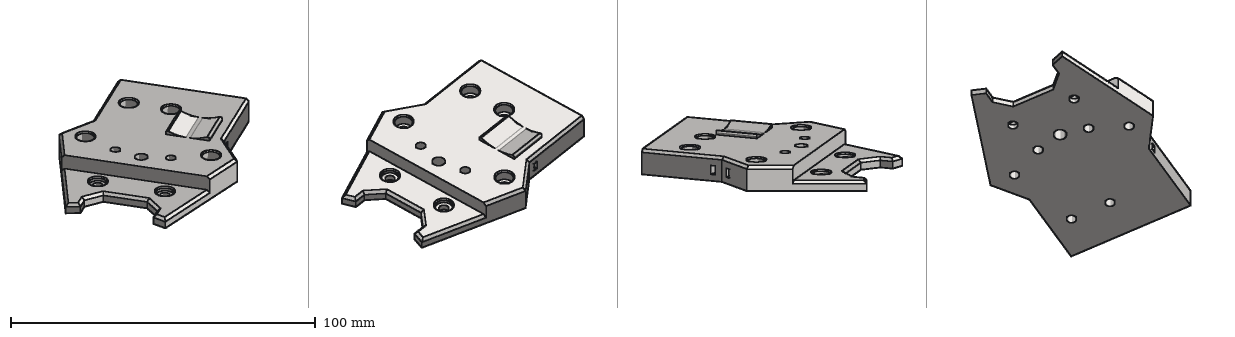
import cadquery as cq

LENGTH = 76.7
BACK_HALF_WIDTH = 22.5
SHOULDER_Y = 48.6
WIDEST_HALF_WIDTH = 30.6
WIDEST_Y = 36.95
TIP_X = 17.1
NOTCH_HALF_WIDTH = 12.5
NOTCH_TOP_HALF_WIDTH = 7.5
NOTCH_TOP_Y = 11.05
NOTCH_CORNER_Y = NOTCH_TOP_Y - (NOTCH_HALF_WIDTH - NOTCH_TOP_HALF_WIDTH)
SIDE_SLOPE = (WIDEST_HALF_WIDTH - TIP_X) / WIDEST_Y
PRONG_INNER_Y = (TIP_X - NOTCH_HALF_WIDTH) * SIDE_SLOPE

BODY_HEIGHT = 8.5
LEDGE_HEIGHT = 3.45
STEP_Y = 22.85
EDGE_CHAMFER = 1.0

SCREW_DIAMETER = 3.2
COUNTERBORE_DIAMETER = 5.8
COUNTERBORE_CHAMFER = 0.45
BODY_SCREW_FLOOR = 4.9
LEDGE_SCREW_FLOOR = 2.0
BODY_SCREWS = [(-14.5, 62.65), (0, 62.65), (-21.55, WIDEST_Y), (21.55, WIDEST_Y)]
LEDGE_SCREWS = [(-11.5, 17.95), (11.5, 17.95)]

CENTER_HOLE_DIAMETER = 4.3
CENTER_HOLE_Y = 29.1
SIDE_HOLE_DIAMETER = 3.3
SIDE_HOLE_X = 9.5
SIDE_HOLE_Y = 31.3

PAD_TOP = 9.8
PAD_CENTER_X = 10.8
PAD_WIDTH = 14.95
PAD_FRONT_Y = 45.85
PAD_LENGTH = 14.2
PAD_RIM = 0.85
PAD_FILLET = 0.5
HOLLOW_DIP = 0.015

TUNNEL_INNER_RADIUS = 2.4
TUNNEL_OUTER_RADIUS = 4.0
TUNNEL_BOTTOM = 2.2
TUNNEL_HEIGHT = 3.0


def chamfered_plate(height):
    """Full outline at one height, top edge chamfered everywhere but along the back."""
    right_side = [
        (BACK_HALF_WIDTH, LENGTH),
        (BACK_HALF_WIDTH, SHOULDER_Y),
        (WIDEST_HALF_WIDTH, WIDEST_Y),
        (TIP_X, 0),
        (NOTCH_HALF_WIDTH, PRONG_INNER_Y),
        (NOTCH_HALF_WIDTH, NOTCH_CORNER_Y),
        (NOTCH_TOP_HALF_WIDTH, NOTCH_TOP_Y),
    ]
    left_side = [(-x, y) for x, y in reversed(right_side)]
    plate = cq.Workplane("XY").polyline(right_side + left_side).close().extrude(height)
    top_edges = plate.faces(">Z").edges().edges("not(>Y)")
    return top_edges.chamfer(EDGE_CHAMFER)


def stepped_body():
    """Thick body behind the step, thin ledge with two prongs in front of it."""
    behind_step = (
        cq.Workplane("XY")
        .box(2 * WIDEST_HALF_WIDTH, LENGTH - STEP_Y, BODY_HEIGHT, centered=(True, False, False))
        .translate((0, STEP_Y, 0))
    )
    thick_body = chamfered_plate(BODY_HEIGHT).intersect(behind_step)
    return chamfered_plate(LEDGE_HEIGHT).union(thick_body)


def through_holes(points, diameter):
    return cq.Workplane("XY").pushPoints(points).circle(diameter / 2).extrude(BODY_HEIGHT)


def screw_holes(points, surface, floor):
    """Cutters for counterbored holes that open on a face at the given height."""
    bore_radius = COUNTERBORE_DIAMETER / 2
    profile = [
        (0, 0),
        (SCREW_DIAMETER / 2, 0),
        (SCREW_DIAMETER / 2, floor),
        (bore_radius, floor),
        (bore_radius, surface - COUNTERBORE_CHAMFER),
        (bore_radius + COUNTERBORE_CHAMFER, surface),
        (0, surface),
    ]
    cutter = cq.Workplane("XZ").polyline(profile).close().revolve(360, (0, 0, 0), (0, 1, 0))
    return cq.Workplane("XY").pushPoints(points).eachpoint(cutter.val(), combine=False)


def hollow_pad():
    """Block with rounded long edges and a cylindrical hollow that leaves a rim on each side."""
    block = (
        cq.Workplane("XY")
        .box(PAD_WIDTH, PAD_LENGTH, PAD_TOP, centered=(True, False, False))
        .translate((PAD_CENTER_X, PAD_FRONT_Y, 0))
    )
    half_chord = PAD_WIDTH / 2 - PAD_RIM
    hollow_bottom = BODY_HEIGHT - HOLLOW_DIP
    hollow = (
        cq.Workplane("XZ", origin=(PAD_CENTER_X, PAD_FRONT_Y, 0))
        .moveTo(-half_chord, PAD_TOP)
        .threePointArc((0, hollow_bottom), (half_chord, PAD_TOP))
        .close()
        .extrude(-PAD_LENGTH)
    )
    return block.edges("|Y and >Z").fillet(PAD_FILLET).cut(hollow)


def strap_tunnel(side):
    """Ring-shaped cutter around the shoulder corner; side is -1 for left and 1 for right."""
    return (
        cq.Workplane("XY", origin=(side * BACK_HALF_WIDTH, SHOULDER_Y, TUNNEL_BOTTOM))
        .circle(TUNNEL_OUTER_RADIUS)
        .circle(TUNNEL_INNER_RADIUS)
        .extrude(TUNNEL_HEIGHT)
    )


result = stepped_body().union(hollow_pad())
result = result.cut(screw_holes(BODY_SCREWS, BODY_HEIGHT, BODY_SCREW_FLOOR))
result = result.cut(screw_holes(LEDGE_SCREWS, LEDGE_HEIGHT, LEDGE_SCREW_FLOOR))
result = result.cut(through_holes([(0, CENTER_HOLE_Y)], CENTER_HOLE_DIAMETER))
side_holes = [(-SIDE_HOLE_X, SIDE_HOLE_Y), (SIDE_HOLE_X, SIDE_HOLE_Y)]
result = result.cut(through_holes(side_holes, SIDE_HOLE_DIAMETER))
for side in (-1, 1):
    result = result.cut(strap_tunnel(side))